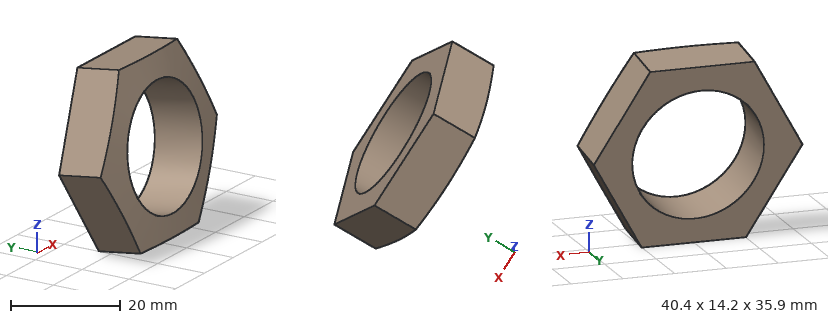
import cadquery as cq
import math

across_corners = 40.35
bore_diameter = 25.4
corner_thickness = 9.0
face_slope = 10.0
tilt = 7.6

corner_radius = across_corners / 2
bore_radius = bore_diameter / 2
slope_rise = math.tan(math.radians(face_slope))
bore_thickness = corner_thickness + (corner_radius - bore_radius) * slope_rise


def hexagonal_prism():
    """Hexagon with corners on the X axis, extruded from the back face toward -Y."""
    return cq.Workplane("XZ").polygon(6, across_corners).extrude(bore_thickness)


def conical_ring():
    """Turned envelope about the Y axis: bored through, with a conical front face."""
    profile = [
        (bore_radius, 0),
        (corner_radius, 0),
        (corner_radius, -corner_thickness),
        (bore_radius, -bore_thickness),
    ]
    return cq.Workplane("XY").polyline(profile).close().revolve(360, (0, 0, 0), (0, 1, 0))


nut = hexagonal_prism().intersect(conical_ring())
result = nut.rotate((0, 0, 0), (1, 0, 0), -tilt)